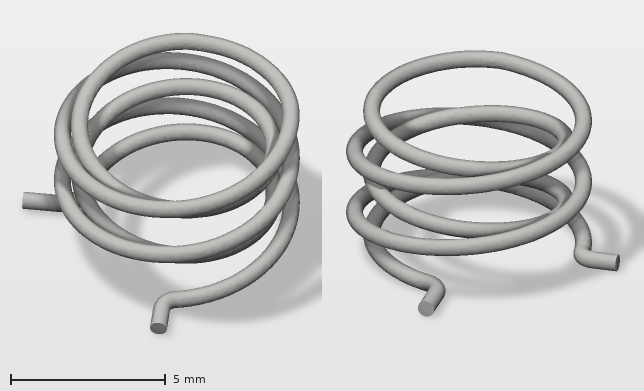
import math
import cadquery as cq

wire_diameter = 0.55
outer_coil_radius = 3.70
coil_clearance = 0.002
inner_coil_radius = outer_coil_radius - wire_diameter - coil_clearance
overall_height = 5.43
outer_bend_radius = 0.50
inner_bend_radius = 0.75
leg_end_radius = 5.0
whole_turns = 2

outer_leg_angle = -45.0
inner_leg_angle = 225.0
crossover_start_angle = 45.0
crossover_end_angle = 135.0

wire_radius = wire_diameter / 2
coil_rise = overall_height - wire_diameter
leg_height = 0.0
right_hand = 1
left_hand = -1


def polar(radius, angle, height):
    """Point at a radius and angle (degrees) about the spring axis."""
    radians = math.radians(angle)
    return cq.Vector(radius * math.cos(radians), radius * math.sin(radians), height)


def tangent(angle):
    """Unit counterclockwise direction at an angle about the spring axis."""
    return polar(1.0, angle + 90.0, 0.0)


def swept_wire(path, start, direction):
    """Round wire along a path, with its section square to the given direction."""
    section_plane = cq.Plane(origin=start, xDir=(0, 0, 1), normal=direction)
    section = cq.Workplane(section_plane).circle(wire_radius)
    return section.sweep(cq.Workplane(obj=path), isFrenet=True)


def bend_angle(coil_radius, bend_radius):
    """Angle about the spring axis taken up by the bend from a coil into its leg."""
    return math.degrees(math.asin(bend_radius / (coil_radius + bend_radius)))


def coil(coil_radius, bend_radius, leg_angle, top_angle, hand):
    """Helix rising from the leg bend to the crossover; hand is right_hand or left_hand."""
    start_angle = leg_angle + hand * bend_angle(coil_radius, bend_radius)
    sweep_angle = hand * (top_angle - start_angle) + 360.0 * whole_turns
    pitch = coil_rise * 360.0 / sweep_angle
    helix = cq.Wire.makeHelix(pitch, coil_rise, coil_radius, lefthand=hand == left_hand)
    body = swept_wire(helix, polar(coil_radius, 0.0, leg_height), tangent(0.0))
    return body.rotate((0, 0, 0), (0, 0, 1), start_angle)


def leg(coil_radius, bend_radius, leg_angle, hand):
    """Flat bend tangent to the coil, followed by a straight radial leg."""
    bend_span = bend_angle(coil_radius, bend_radius)
    coil_end_angle = leg_angle + hand * bend_span
    bend_start = polar(coil_radius, coil_end_angle, leg_height)
    bend_centre_radius = coil_radius + bend_radius
    bend_end = polar(bend_centre_radius * math.cos(math.radians(bend_span)), leg_angle, leg_height)
    travel = tangent(coil_end_angle) * -hand
    bend = cq.Edge.makeTangentArc(bend_start, travel, bend_end)
    straight = cq.Edge.makeLine(bend_end, polar(leg_end_radius, leg_angle, leg_height))
    return swept_wire(cq.Wire.assembleEdges([bend, straight]), bend_start, travel)


def crossover():
    """Flat top arc easing from the outer coil radius to the inner one."""
    start = polar(outer_coil_radius, crossover_start_angle, coil_rise)
    middle = polar(
        (outer_coil_radius + inner_coil_radius) / 2,
        (crossover_start_angle + crossover_end_angle) / 2,
        coil_rise,
    )
    end = polar(inner_coil_radius, crossover_end_angle, coil_rise)
    end_directions = [tangent(crossover_start_angle), tangent(crossover_end_angle)]
    curve = cq.Edge.makeSpline([start, middle, end], tangents=end_directions)
    return swept_wire(cq.Wire.assembleEdges([curve]), start, end_directions[0])


outer_coil = coil(
    outer_coil_radius, outer_bend_radius, outer_leg_angle, crossover_start_angle, right_hand
)
outer_leg = leg(outer_coil_radius, outer_bend_radius, outer_leg_angle, right_hand)
inner_coil = coil(
    inner_coil_radius, inner_bend_radius, inner_leg_angle, crossover_end_angle, left_hand
)
inner_leg = leg(inner_coil_radius, inner_bend_radius, inner_leg_angle, left_hand)

outer_half = outer_coil.union(outer_leg)
inner_half = inner_coil.union(inner_leg)
result = outer_half.union(crossover()).union(inner_half)